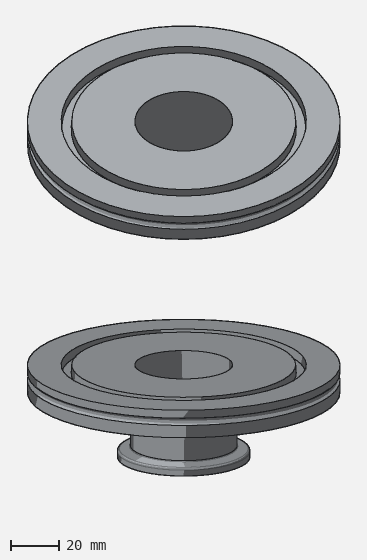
import cadquery as cq
import math

total_height = 40.0
bore_radius = 20.3
tube_radius = 22.2

disc_radius = 65.0
disc_thickness = 12.0
disc_bottom = total_height - disc_thickness

rim_groove_top = total_height - 3.5
rim_groove_width = 3.1
rim_groove_depth = 1.4
rim_groove_bottom = rim_groove_top - rim_groove_width
rim_groove_middle = rim_groove_top - rim_groove_width / 2

face_groove_outer_radius = 51.0
face_groove_inner_radius = 46.5
face_groove_depth = 3.9
face_groove_floor = total_height - face_groove_depth
face_groove_wall_slope = 0.3

flange_radius = 27.5
flange_edge_height = 3.4
flange_cone_angle = 15.0
flange_round = 1.0
neck_round = 0.4
cone_rise = (flange_radius - tube_radius) * math.tan(math.radians(flange_cone_angle))
cone_top = flange_edge_height + cone_rise


def revolved_body():
    """Disc, tube and flange as one profile of (radius, height) turned about Z."""
    return (
        cq.Workplane("XZ")
        .moveTo(bore_radius, 0)
        .lineTo(flange_radius, 0)
        .lineTo(flange_radius, flange_edge_height)
        .lineTo(tube_radius, cone_top)
        .lineTo(tube_radius, disc_bottom)
        .lineTo(disc_radius, disc_bottom)
        .lineTo(disc_radius, rim_groove_bottom)
        .threePointArc(
            (disc_radius - rim_groove_depth, rim_groove_middle),
            (disc_radius, rim_groove_top),
        )
        .lineTo(disc_radius, total_height)
        .lineTo(bore_radius, total_height)
        .close()
        .revolve(360, (0, 0, 0), (0, 1, 0))
    )


def round_circle(body, radius, height, round_radius):
    """Round the circular edge of the given radius at the given height."""
    margin = 0.1
    edge_box = cq.selectors.BoxSelector(
        (-radius - margin, -radius - margin, height - margin),
        (radius + margin, radius + margin, height + margin),
        boundingbox=True,
    )
    return body.edges("%CIRCLE").edges(edge_box).fillet(round_radius)


def face_groove():
    """Ring with sloping walls, removed from the top face of the disc."""
    return (
        cq.Workplane("XZ")
        .moveTo(face_groove_inner_radius, total_height)
        .lineTo(face_groove_inner_radius + face_groove_wall_slope, face_groove_floor)
        .lineTo(face_groove_outer_radius - face_groove_wall_slope, face_groove_floor)
        .lineTo(face_groove_outer_radius, total_height)
        .close()
        .revolve(360, (0, 0, 0), (0, 1, 0))
    )


result = revolved_body()
result = round_circle(result, flange_radius, flange_edge_height, flange_round)
result = round_circle(result, tube_radius, cone_top, neck_round)
result = result.cut(face_groove())